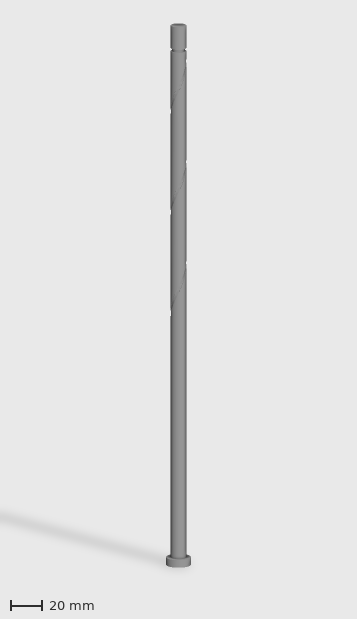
import cadquery as cq

TOTAL_LENGTH = 357.0
SHAFT_DIAMETER = 10.0
HEAD_DIAMETER = 16.0
HEAD_HEIGHT = 5.0

TIP_LENGTH = 15.0
RING_WIDTH = 2.0
RING_DEPTH = 1.0

SPIRAL_LENGTH = 200.0
SPIRAL_TURNS = 3
SPIRAL_START_ANGLE = 90.0
SPIRAL_WIDTH = 2.0
SPIRAL_DEPTH = 0.5
SPIRAL_OVERRUN = 0.5

SHAFT_RADIUS = SHAFT_DIAMETER / 2
HEAD_RADIUS = HEAD_DIAMETER / 2
RING_RADIUS = SHAFT_RADIUS - RING_DEPTH
RING_TOP = TOTAL_LENGTH - TIP_LENGTH
RING_BOTTOM = RING_TOP - RING_WIDTH
SPIRAL_TOP = RING_BOTTOM + SPIRAL_OVERRUN
SPIRAL_BOTTOM = SPIRAL_TOP - SPIRAL_LENGTH
SPIRAL_PITCH = SPIRAL_LENGTH / SPIRAL_TURNS


def make_pin():
    """Headed pin with its ring groove, revolved from a half profile on the -X side."""
    half_profile = (
        cq.Workplane("XZ")
        .moveTo(0, 0)
        .lineTo(-HEAD_RADIUS, 0)
        .lineTo(-HEAD_RADIUS, HEAD_HEIGHT)
        .lineTo(-SHAFT_RADIUS, HEAD_HEIGHT)
        .lineTo(-SHAFT_RADIUS, RING_BOTTOM)
        .lineTo(-RING_RADIUS, RING_BOTTOM)
        .lineTo(-RING_RADIUS, RING_TOP)
        .lineTo(-SHAFT_RADIUS, RING_TOP)
        .lineTo(-SHAFT_RADIUS, TOTAL_LENGTH)
        .lineTo(0, TOTAL_LENGTH)
        .close()
    )
    return half_profile.revolve(360, (0, 0, 0), (0, 1, 0))


def make_spiral_cutter():
    """Square-sided bar swept along a helix on the shaft surface."""
    path = cq.Wire.makeHelix(SPIRAL_PITCH, SPIRAL_LENGTH, SHAFT_RADIUS)
    section_plane = cq.Plane(
        origin=path.startPoint().toTuple(),
        xDir=(1, 0, 0),
        normal=path.tangentAt(0).toTuple(),
    )
    bar = (
        cq.Workplane(section_plane)
        .rect(2 * SPIRAL_DEPTH, SPIRAL_WIDTH)
        .sweep(cq.Workplane(obj=path), isFrenet=True)
    )
    return bar.rotate((0, 0, 0), (0, 0, 1), SPIRAL_START_ANGLE).translate((0, 0, SPIRAL_BOTTOM))


result = make_pin().cut(make_spiral_cutter())